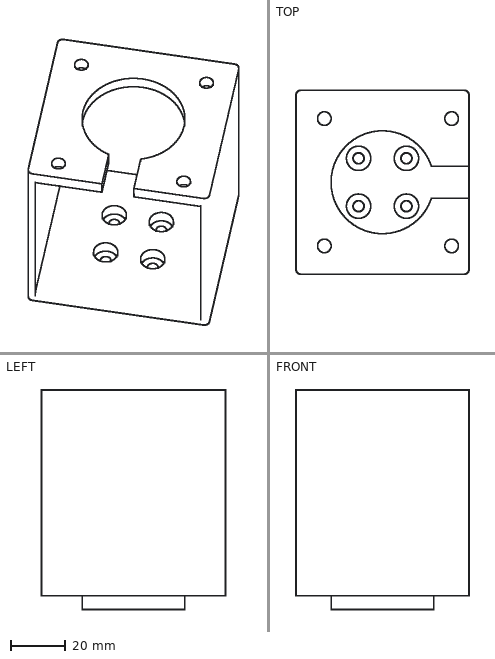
import cadquery as cq

LENGTH_X = 64.0
WIDTH_Y = 68.0
TOTAL_HEIGHT = 81.0
HUB_HEIGHT = 5.0
WALL = 3.0
PLATE = 5.0
EDGE_RADIUS = 2.0
BOX_HEIGHT = TOTAL_HEIGHT - HUB_HEIGHT

HUB_DIAMETER = 38.0
CABLE_SLOT_WIDTH = 12.0

MOUNT_SPACING = 47.0
MOUNT_DIAMETER = 5.0
MOUNT_CENTER_X = (WIDTH_Y - LENGTH_X) / 2

SCREW_SPACING = 17.65
SCREW_DIAMETER = 4.0
SCREW_HEAD_DIAMETER = 9.0
SCREW_HEAD_DEPTH = 5.0


def make_body():
    """Rounded block with its floor underside at Z = 0 and the hub below it."""
    block = (
        cq.Workplane("XY")
        .box(LENGTH_X, WIDTH_Y, BOX_HEIGHT, centered=(True, True, False))
        .edges("|Z")
        .fillet(EDGE_RADIUS)
    )
    hub = cq.Workplane("XY").circle(HUB_DIAMETER / 2).extrude(-HUB_HEIGHT)
    return block.union(hub)


def cut_cavity(body):
    """Hollow the block from the open +X side and round the floor's front edge."""
    cavity = (
        cq.Workplane("XY", origin=(-LENGTH_X / 2 + WALL, 0, PLATE))
        .box(LENGTH_X, WIDTH_Y - 2 * WALL, BOX_HEIGHT - 2 * PLATE, centered=(False, True, False))
    )
    floor_edge = cq.selectors.NearestToPointSelector((LENGTH_X / 2, 0, PLATE))
    return body.cut(cavity).edges(floor_edge).fillet(EDGE_RADIUS)


def cut_roof_opening(body):
    """Round opening in the roof with a slot leading out to the +X side."""
    roof_underside = cq.Workplane("XY", origin=(0, 0, BOX_HEIGHT - PLATE))
    opening = roof_underside.circle(HUB_DIAMETER / 2).extrude(PLATE)
    slot = roof_underside.box(LENGTH_X / 2, CABLE_SLOT_WIDTH, PLATE, centered=(False, True, False))
    return body.cut(opening).cut(slot)


def cut_mount_holes(body):
    """Four plain holes through the roof."""
    holes = (
        cq.Workplane("XY", origin=(MOUNT_CENTER_X, 0, BOX_HEIGHT - PLATE))
        .rect(MOUNT_SPACING, MOUNT_SPACING, forConstruction=True)
        .vertices()
        .circle(MOUNT_DIAMETER / 2)
        .extrude(PLATE)
    )
    return body.cut(holes)


def cut_screw_holes(body):
    """Four holes through floor and hub, counterbored from inside the cavity."""
    def screw_cylinders(top, diameter, depth):
        return (
            cq.Workplane("XY", origin=(0, 0, top))
            .rect(SCREW_SPACING, SCREW_SPACING, forConstruction=True)
            .vertices()
            .circle(diameter / 2)
            .extrude(-depth)
        )

    shanks = screw_cylinders(PLATE, SCREW_DIAMETER, PLATE + HUB_HEIGHT)
    heads = screw_cylinders(PLATE, SCREW_HEAD_DIAMETER, SCREW_HEAD_DEPTH)
    return body.cut(shanks).cut(heads)


result = make_body()
result = cut_cavity(result)
result = cut_roof_opening(result)
result = cut_mount_holes(result)
result = cut_screw_holes(result)